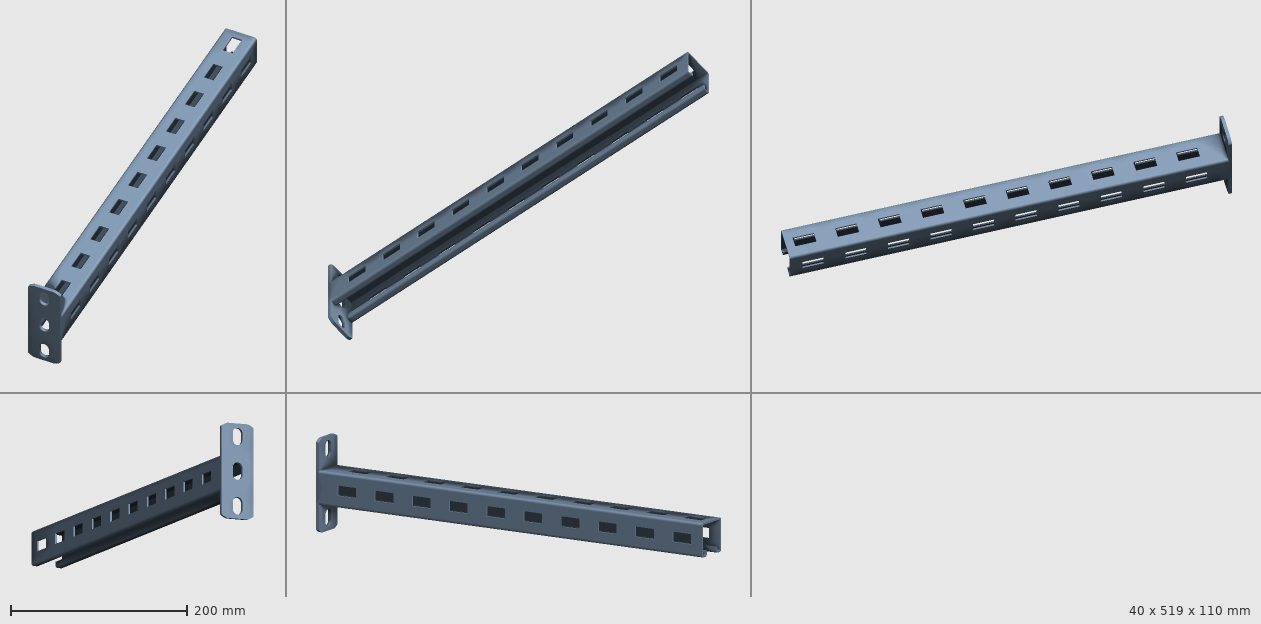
import cadquery as cq

overall_length = 519.0
width = 40.0
plate_height = 110.0
plate_thickness = 4.0

channel_height = 40.0
channel_drop = 2.0
channel_length = overall_length - plate_thickness
wall = 2.0
outer_bend_radius = 3.0
inner_bend_radius = outer_bend_radius - wall
mouth_width = 20.0
lip_height = 7.0

slot_length = 25.0
slot_width = 12.0
slot_count = 10
slot_pitch = 50.0
top_slot_end_distance = 22.5
side_slot_end_distance = 27.5

corner_cut_x = 7.5
corner_cut_z = 4.0
corner_radius = 21.0
plate_slot_width = 12.0
plate_slot_height = 20.0
plate_slot_pitch = 40.0
plate_slot_count = 3

channel_start = plate_thickness
channel_end = overall_length
channel_top = channel_height / 2 - channel_drop
channel_bottom = channel_top - channel_height
channel_middle = (channel_top + channel_bottom) / 2


def extrude_towards_back(profile, start, length):
    """Extrude an XZ profile from Y = start towards +Y (the XZ workplane faces -Y)."""
    return profile.extrude(-length).translate((0, start, 0))


def round_bends(body, corners, radius):
    """Round the long edges at the given (x, z) corners on both sides of the channel."""
    middle_y = channel_start + channel_length / 2
    for x, z in corners:
        for side in (-1, 1):
            edge = cq.NearestToPointSelector((side * x, middle_y, z))
            body = body.edges("|Y").edges(edge).fillet(radius)
    return body


def make_channel_section():
    """Bent sheet without slots."""
    outer_x = width / 2
    inner_x = outer_x - wall
    mouth_x = mouth_width / 2
    lip_x = mouth_x + wall
    lip_top = channel_bottom + lip_height
    lip_floor = channel_bottom + wall
    ceiling = channel_top - wall

    outer_corners = [(outer_x, channel_top), (outer_x, channel_bottom), (mouth_x, channel_bottom)]
    inner_corners = [(inner_x, ceiling), (inner_x, lip_floor), (lip_x, lip_floor)]
    lip_edge = [(mouth_x, lip_top), (lip_x, lip_top)]

    right_half = outer_corners + lip_edge + inner_corners[::-1]
    left_half = [(-x, z) for x, z in right_half]
    outline = right_half + left_half[::-1]
    section = cq.Workplane("XZ").polyline(outline).close()
    body = extrude_towards_back(section, channel_start, channel_length)

    body = round_bends(body, outer_corners, outer_bend_radius)
    return round_bends(body, inner_corners, inner_bend_radius)


def slot_centres(end_distance):
    """Y positions of one row of slots, counted from the free end."""
    return [channel_end - end_distance - i * slot_pitch for i in range(slot_count)]


def make_channel():
    body = make_channel_section()

    top_cutter = cq.Workplane("XY").box(slot_width, slot_length, channel_height)
    for y in slot_centres(top_slot_end_distance):
        body = body.cut(top_cutter.translate((0, y, channel_top)))

    side_cutter = cq.Workplane("XY").box(2 * width, slot_length, slot_width)
    for y in slot_centres(side_slot_end_distance):
        body = body.cut(side_cutter.translate((0, y, channel_middle)))
    return body


def make_end_plate():
    half_x = width / 2
    half_z = plate_height / 2
    flat_x = half_x - corner_cut_x
    flat_z = half_z - corner_cut_z
    outline = (
        cq.Workplane("XZ")
        .moveTo(half_x, flat_z)
        .radiusArc((flat_x, half_z), -corner_radius)
        .lineTo(-flat_x, half_z)
        .radiusArc((-half_x, flat_z), -corner_radius)
        .lineTo(-half_x, -flat_z)
        .radiusArc((-flat_x, -half_z), -corner_radius)
        .lineTo(flat_x, -half_z)
        .radiusArc((half_x, -flat_z), -corner_radius)
        .close()
    )
    slots = (
        cq.Workplane("XZ")
        .rarray(1, plate_slot_pitch, 1, plate_slot_count)
        .slot2D(plate_slot_height, plate_slot_width, 90)
    )
    plate = extrude_towards_back(outline, 0, plate_thickness)
    return plate.cut(extrude_towards_back(slots, 0, plate_thickness))


channel = make_channel()
end_plate = make_end_plate()

result = cq.Compound.makeCompound([channel.val(), end_plate.val()])